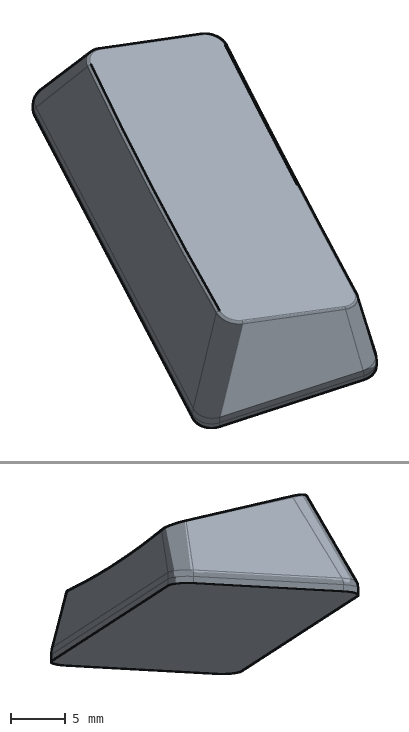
import cadquery as cq
import math

length = 41.95
width = 18.17
skirt_height = 0.65
skirt_corner_radius = 1.9

bend_height = 0.65
bend_side_inset = 0.13
bend_front_inset = 0.13
bend_back_inset = 0.05

top_length = 34.6
top_front_y = -5.1
top_front_z = 9.95
top_back_y = 8.65
top_back_z = 6.1
top_corner_radius = 1.9
top_edge_radius = 0.3

dish_depth = 0.45

wall_start_height = skirt_height + bend_height
top_run = top_back_y - top_front_y
top_drop = top_front_z - top_back_z
top_width = math.hypot(top_run, top_drop)
top_tilt = math.degrees(math.atan2(top_drop, top_run))
top_center = (0, (top_front_y + top_back_y) / 2, (top_front_z + top_back_z) / 2)
dish_radius = (top_length**2 / 4 + dish_depth**2) / (2 * dish_depth)


def rounded_rectangle(size_x, size_y, corner_radius):
    return cq.Sketch().rect(size_x, size_y).vertices().fillet(corner_radius)


def bend_section(fraction):
    """Level outline of the bend; its inset grows with the square of the height."""
    growth = fraction**2
    front_inset = growth * bend_front_inset
    back_inset = growth * bend_back_inset
    outline = rounded_rectangle(
        length - 2 * growth * bend_side_inset,
        width - front_inset - back_inset,
        skirt_corner_radius,
    )
    height = skirt_height + fraction * bend_height
    center = cq.Vector(0, (front_inset - back_inset) / 2, height)
    return outline.moved(cq.Location(center))


def make_body():
    """Upright skirt, curved bend and straight walls leaning in to the tilted top."""
    foot = rounded_rectangle(length, width, skirt_corner_radius)
    skirt = cq.Workplane().placeSketch(foot).extrude(skirt_height)

    bend_sections = [bend_section(fraction) for fraction in (0, 0.5, 1)]
    bend = cq.Workplane().placeSketch(*bend_sections).loft()

    top_location = cq.Location(cq.Vector(*top_center), cq.Vector(1, 0, 0), -top_tilt)
    top = rounded_rectangle(top_length, top_width, top_corner_radius).moved(top_location)
    walls = cq.Workplane().placeSketch(bend_section(1), top).loft(ruled=True)

    return skirt.union(bend).union(walls)


def make_dish():
    """Cylinder that touches the two side edges of the top and dips between them."""
    return (
        cq.Workplane("XZ")
        .center(0, dish_radius - dish_depth)
        .circle(dish_radius)
        .extrude(top_width, both=True)
        .rotate((0, 0, 0), (1, 0, 0), -top_tilt)
        .translate(top_center)
    )


dished_body = make_body().cut(make_dish())
result = dished_body.faces(">Z").edges().fillet(top_edge_radius)